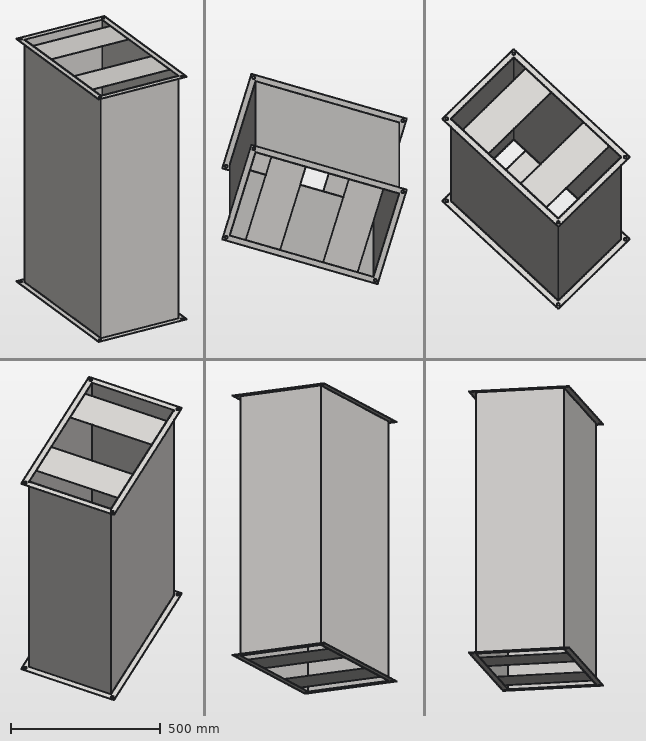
import cadquery as cq

sheet = 1.0
inner_width = 500.0
inner_depth = 300.0
length = 900.0
outer_width = inner_width + 2 * sheet
outer_depth = inner_depth + 2 * sheet

flange_rim = 20.0
flange_width = outer_width + 2 * flange_rim
flange_depth = outer_depth + 2 * flange_rim
bolt_hole_diameter = 9.0
bolt_hole_inset = 11.0
bolt_spacing_x = flange_width - 2 * bolt_hole_inset
bolt_spacing_y = flange_depth - 2 * bolt_hole_inset

baffle_width = 120.0
baffle_gap = 150.0
baffle_offset = (baffle_gap + baffle_width) / 2

end_layers = (-length / 2, length / 2 - sheet)


def make_flange(bottom_z):
    """Flat frame around one end of the duct, with a bolt hole in each corner."""
    frame = (
        cq.Workplane("XY", origin=(0, 0, bottom_z))
        .rect(flange_width, flange_depth)
        .rect(inner_width, inner_depth)
        .extrude(sheet)
    )
    bolt_holes = (
        cq.Workplane("XY", origin=(0, 0, bottom_z))
        .rect(bolt_spacing_x, bolt_spacing_y, forConstruction=True)
        .vertices()
        .circle(bolt_hole_diameter / 2)
        .extrude(sheet)
    )
    return frame.cut(bolt_holes)


def make_casing():
    """Sheet tube with a flange at each end, all one solid."""
    casing_body = (
        cq.Workplane("XY", origin=(0, 0, -length / 2))
        .rect(outer_width, outer_depth)
        .rect(inner_width, inner_depth)
        .extrude(length)
    )
    for bottom_z in end_layers:
        casing_body = casing_body.union(make_flange(bottom_z))
    return casing_body


def make_baffle(center_x, bottom_z):
    """Flat strip fitted between the front and back walls of the casing."""
    return (
        cq.Workplane("XY", origin=(center_x, 0, bottom_z))
        .rect(baffle_width, inner_depth)
        .extrude(sheet)
    )


casing = make_casing()

baffles = []
for bottom_z in end_layers:
    for center_x in (-baffle_offset, baffle_offset):
        baffles.append(make_baffle(center_x, bottom_z))

result = cq.Compound.makeCompound([casing.solids().val(), *[baffle.val() for baffle in baffles]])